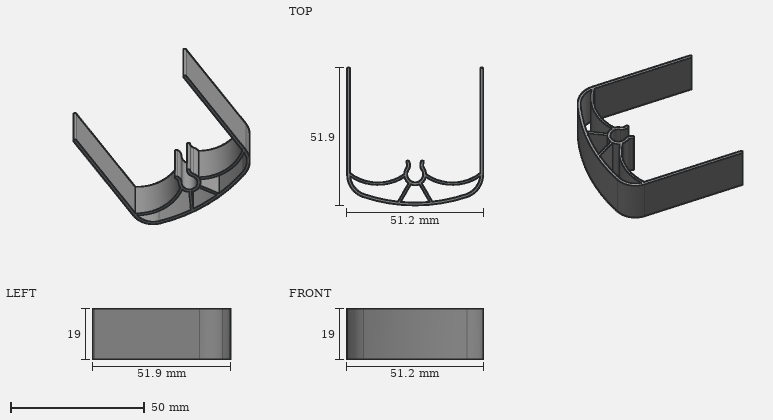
import cadquery as cq
import math

width = 51.2
length = 51.85
height = 19.0

wall = 1.2
bow_depth = 11.7
bow_radius = 61.2
half_width = width / 2
leg_length = length - bow_depth

clip_inner_radius = 2.95
lip_radius = 2.6
lip_half_gap = 1.85
lip_tip_y = 4.6
clip_mid_radius = clip_inner_radius + wall / 2

web = 1.0
strut_angle = 30.0
hammock_inner_radius = 17.3
hammock_center_x = 14.0
hammock_center_y = 14.3


def extrude(sketch):
    return sketch.close().extrude(height)


def cylinder(x, y, radius):
    return cq.Workplane("XY").center(x, y).circle(radius).extrude(height)


def polar(center, radius, angle):
    return (center[0] + radius * math.cos(angle), center[1] + radius * math.sin(angle))


def bow_outline(inset):
    """Solid bounded by the legs' top line and the bow, moved inward by inset."""
    bow_center_y = bow_radius - bow_depth
    corner_radius = (bow_radius**2 - half_width**2 - bow_center_y**2) / (2 * (bow_radius - half_width))
    corner_x = half_width - corner_radius
    join_angle = math.atan2(-bow_center_y, corner_x)
    corner = corner_radius - inset
    side = half_width - inset
    join_x, join_y = polar((corner_x, 0), corner, join_angle)
    mid_x, mid_y = polar((corner_x, 0), corner, join_angle / 2)
    top = leg_length - wall / 2
    return extrude(
        cq.Workplane("XY")
        .moveTo(-side, top)
        .lineTo(-side, 0)
        .threePointArc((-mid_x, mid_y), (-join_x, join_y))
        .threePointArc((0, inset - bow_depth), (join_x, join_y))
        .threePointArc((mid_x, mid_y), (side, 0))
        .lineTo(side, top)
    )


def arc_band(center, radius, start, end):
    """Curved strip of wall thickness centred on an arc, angles in radians."""
    inner = radius - wall / 2
    outer = radius + wall / 2
    middle = (start + end) / 2
    return extrude(
        cq.Workplane("XY")
        .moveTo(*polar(center, inner, start))
        .threePointArc(polar(center, inner, middle), polar(center, inner, end))
        .lineTo(*polar(center, outer, end))
        .threePointArc(polar(center, outer, middle), polar(center, outer, start))
    )


def clip():
    lip_x = lip_half_gap + wall / 2 + lip_radius
    lip_y = math.sqrt((clip_mid_radius + lip_radius) ** 2 - lip_x**2)
    join_angle = math.atan2(lip_y, lip_x)
    tip_angle = math.pi - math.asin((lip_tip_y - lip_y) / lip_radius)
    tip_x, tip_y = polar((lip_x, lip_y), lip_radius, tip_angle)
    ring = arc_band((0, 0), clip_mid_radius, -math.pi - join_angle, join_angle)
    lip = arc_band((lip_x, lip_y), lip_radius, tip_angle, math.pi + join_angle)
    lip = lip.union(cylinder(tip_x, tip_y, wall / 2))
    return ring.union(lip).union(lip.mirror("YZ"))


def webs(cavity):
    """Two hanging arcs and two radial struts, trimmed to the space around the clip."""
    hammock = cylinder(hammock_center_x, hammock_center_y, hammock_inner_radius + web)
    hammock = hammock.cut(cylinder(hammock_center_x, hammock_center_y, hammock_inner_radius))
    hammock_zone = cq.Workplane("XY").box(half_width, bow_depth, height, centered=False)
    hammock_zone = hammock_zone.translate((0, clip_inner_radius - bow_depth, 0))
    strut = cq.Workplane("XY").box(web, bow_radius, height, centered=(True, False, False))
    strut = strut.rotate((0, 0, 0), (0, 0, 1), 180 + strut_angle)
    right_side = hammock.intersect(hammock_zone).union(strut).intersect(cavity)
    right_side = right_side.cut(cylinder(0, 0, clip_mid_radius))
    return right_side.union(right_side.mirror("YZ"))


shell = bow_outline(0).cut(bow_outline(wall))
for leg_side in (-1, 1):
    leg_x = leg_side * (half_width - wall / 2)
    shell = shell.union(cylinder(leg_x, leg_length - wall / 2, wall / 2))

result = shell.union(webs(bow_outline(wall / 2))).union(clip())